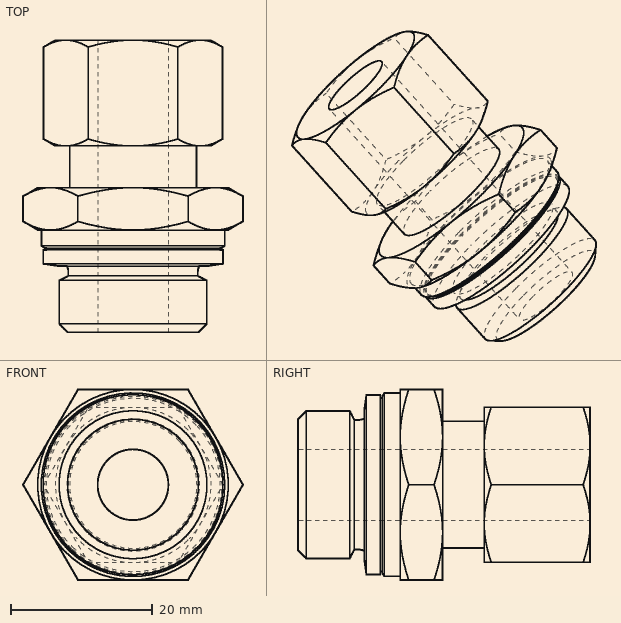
import cadquery as cq
import math


THREAD_END = 7.35
RUNOUT_END = 8.0
UNDERCUT_FLARE = 8.6
SEAL_FACE = 9.4
SEAL_EDGE = 9.7
SEAL_BACK = 11.7
GROOVE_END = 11.95
BODY_HEX_START = 14.5
BODY_HEX_LENGTH = 6.0
TOTAL_LENGTH = 41.4
NUT_LENGTH = 15.0
BODY_HEX_END = BODY_HEX_START + BODY_HEX_LENGTH
NUT_START = TOTAL_LENGTH - NUT_LENGTH

BORE_RADIUS = 5.0
THREAD_RADIUS = 20.955 / 2
UNDERCUT_RADIUS = 9.2
UNDERCUT_FLARE_RADIUS = 1.75
SEAL_FACE_RADIUS = 10.7
SEAL_RADIUS = 12.75
GROOVE_RADIUS = 12.3
FLANGE_RADIUS = 13.0
COLLAR_RADIUS = 9.0

THREAD_CHAMFER = 1.2
FLANGE_CHAMFER_LENGTH = 0.3
FLANGE_CHAMFER_DEPTH = 0.45

BODY_HEX_FLATS = 27.0
NUT_HEX_FLATS = 22.0
HEX_CHAMFER_ANGLE = 30.0


def make_cylinder(radius, start, end):
    """Cylinder on the Y axis from start to end."""
    return cq.Workplane("XZ", origin=(0, start, 0)).circle(radius).extrude(start - end)


def make_chamfered_hex(flats, start, end):
    """Hexagon on the Y axis, corners on X, with both ends turned to a cone."""
    corner_radius = flats / math.sqrt(3)
    face_radius = flats / 2
    chamfer_length = (corner_radius - face_radius) * math.tan(math.radians(HEX_CHAMFER_ANGLE))
    prism = (
        cq.Workplane("XZ", origin=(0, start, 0))
        .polygon(6, 2 * corner_radius)
        .extrude(start - end)
    )
    envelope = (
        cq.Workplane("XY")
        .moveTo(0, start)
        .lineTo(face_radius, start)
        .lineTo(corner_radius, start + chamfer_length)
        .lineTo(corner_radius, end - chamfer_length)
        .lineTo(face_radius, end)
        .lineTo(0, end)
        .close()
        .revolve(360, (0, 0, 0), (0, 1, 0))
    )
    return prism.intersect(envelope)


def make_screw_in_end():
    """Threaded spigot, undercut, seal ring, groove and flange as one turned profile."""
    flare_length = SEAL_FACE - UNDERCUT_FLARE
    flare_angle = math.asin(flare_length / UNDERCUT_FLARE_RADIUS)

    def flare_point(angle):
        """Radius and station on the flare arc, angle measured from its tangent start."""
        radius = UNDERCUT_RADIUS + UNDERCUT_FLARE_RADIUS * (1 - math.cos(angle))
        return radius, UNDERCUT_FLARE + UNDERCUT_FLARE_RADIUS * math.sin(angle)

    return (
        cq.Workplane("XY")
        .lineTo(THREAD_RADIUS - THREAD_CHAMFER, 0)
        .lineTo(THREAD_RADIUS, THREAD_CHAMFER)
        .lineTo(THREAD_RADIUS, THREAD_END)
        .lineTo(UNDERCUT_RADIUS, RUNOUT_END)
        .lineTo(UNDERCUT_RADIUS, UNDERCUT_FLARE)
        .threePointArc(flare_point(flare_angle / 2), flare_point(flare_angle))
        .lineTo(SEAL_FACE_RADIUS, SEAL_FACE)
        .lineTo(SEAL_RADIUS, SEAL_EDGE)
        .lineTo(SEAL_RADIUS, SEAL_BACK)
        .lineTo(GROOVE_RADIUS, SEAL_BACK)
        .lineTo(GROOVE_RADIUS, GROOVE_END)
        .lineTo(FLANGE_RADIUS - FLANGE_CHAMFER_DEPTH, GROOVE_END)
        .lineTo(FLANGE_RADIUS, GROOVE_END + FLANGE_CHAMFER_LENGTH)
        .lineTo(FLANGE_RADIUS, BODY_HEX_START)
        .lineTo(0, BODY_HEX_START)
        .close()
        .revolve(360, (0, 0, 0), (0, 1, 0))
    )


def make_fitting():
    """All outer bodies fused, then bored through."""
    body_hex = make_chamfered_hex(BODY_HEX_FLATS, BODY_HEX_START, BODY_HEX_END)
    collar = make_cylinder(COLLAR_RADIUS, BODY_HEX_START, TOTAL_LENGTH)
    nut = make_chamfered_hex(NUT_HEX_FLATS, NUT_START, TOTAL_LENGTH)
    bore = make_cylinder(BORE_RADIUS, 0, TOTAL_LENGTH)
    return make_screw_in_end().union(body_hex).union(collar).union(nut).cut(bore)


result = make_fitting()